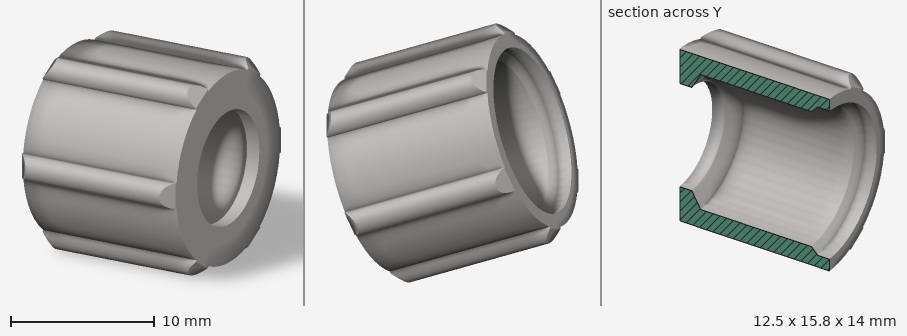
import cadquery as cq
import math

LENGTH = 12.5
BODY_RADIUS = 13.96 / 2

RIB_COUNT = 6
RIB_TIP_RADIUS = 7.92
RIB_RADIUS = 0.92
RIB_CENTRE_RADIUS = RIB_TIP_RADIUS - RIB_RADIUS
RIB_BEVEL_LENGTH = 0.81
RIB_BEVEL_HEIGHT = 0.87

MOUTH_RADIUS = 12.0 / 2
MOUTH_DEPTH = 1.0
MAIN_BORE_RADIUS = 10.92 / 2
SEAT_END_RADIUS = 8.48 / 2
SEAT_ANGLE = 60
EXIT_RADIUS = 8.35 / 2
EXIT_LENGTH = 1.0

LEFT = -LENGTH / 2
RIGHT = LENGTH / 2


def make_rib(angle):
    """One round rib with a flat bevel at each end, turned about X."""
    rib = (
        cq.Workplane("YZ", origin=(LEFT, 0, 0))
        .center(RIB_CENTRE_RADIUS, 0)
        .circle(RIB_RADIUS)
        .extrude(LENGTH)
    )
    bevel_foot = RIB_TIP_RADIUS - RIB_BEVEL_HEIGHT
    envelope = (
        cq.Workplane("XY")
        .polyline([
            (LEFT, 0),
            (LEFT, bevel_foot),
            (LEFT + RIB_BEVEL_LENGTH, RIB_TIP_RADIUS),
            (RIGHT - RIB_BEVEL_LENGTH, RIB_TIP_RADIUS),
            (RIGHT, bevel_foot),
            (RIGHT, 0),
        ])
        .close()
        .extrude(2 * RIB_RADIUS, both=True)
    )
    return rib.intersect(envelope).rotate((0, 0, 0), (1, 0, 0), angle)


def make_bore():
    """Wide mouth, 45 degree step, main bore, conical seat, lip and exit hole."""
    step_length = MOUTH_RADIUS - MAIN_BORE_RADIUS
    seat_length = (MAIN_BORE_RADIUS - SEAT_END_RADIUS) / math.tan(math.radians(SEAT_ANGLE))
    exit_start = RIGHT - EXIT_LENGTH
    seat_end = exit_start - (SEAT_END_RADIUS - EXIT_RADIUS)
    return (
        cq.Workplane("XY")
        .polyline([
            (LEFT, 0),
            (LEFT, MOUTH_RADIUS),
            (LEFT + MOUTH_DEPTH, MOUTH_RADIUS),
            (LEFT + MOUTH_DEPTH + step_length, MAIN_BORE_RADIUS),
            (seat_end - seat_length, MAIN_BORE_RADIUS),
            (seat_end, SEAT_END_RADIUS),
            (exit_start, EXIT_RADIUS),
            (RIGHT, EXIT_RADIUS),
            (RIGHT, 0),
        ])
        .close()
        .revolve(360, (0, 0, 0), (1, 0, 0))
    )


body = cq.Workplane("YZ", origin=(LEFT, 0, 0)).circle(BODY_RADIUS).extrude(LENGTH)
for rib_index in range(RIB_COUNT):
    body = body.union(make_rib(rib_index * 360 / RIB_COUNT))

result = body.cut(make_bore())